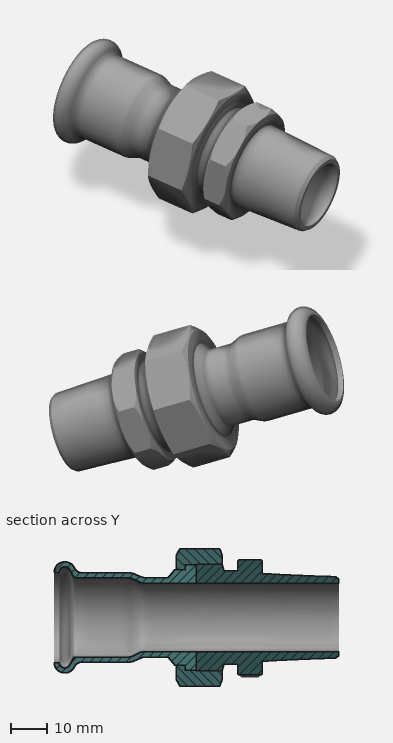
import cadquery as cq
import math

LENGTH = 79.0

WALL = 1.5
SOCKET_R = 12.5
NECK_R = 11.05
BEAD_R = 3.0
BEAD_BLEND_X = 7.75
GROOVE_END_X = 5.5
GROOVE_EDGE_R = 0.4
REDUCER_START_X = 21.4
REDUCER_END_X = 24.7
REDUCER_BLEND_R = 2.2
CONE_START_X = 31.6
CONE_END_X = 33.5
CONE_ROOT_R = 0.4
CONE_RIM_R = 0.2
COLLAR_R = 13.35

NUT_START_X = 33.8
NUT_END_X = 46.7
NUT_ACROSS_CORNERS = 38.3
NUT_CORNER_R = NUT_ACROSS_CORNERS / 2
NUT_FACE_R = 17.2
NUT_FRONT_CHAMFER = 1.1
NUT_BACK_CHAMFER = 0.7
NUT_LIP = 2.5
THREAD_R = 14.7

JOINT_X = 39.5
RUNOUT_LENGTH = 0.5
ADAPTOR_NECK_R = 13.0
HEX_START_X = 50.8
HEX_END_X = 57.8
HEX_CORNER_R = 16.75
HEX_FACE_R = 15.6
HEX_CHAMFER = 1.2
HEX_TURN = 7.5
TAPER_START_R = 12.25
TAPER_END_R = 11.4
END_CHAMFER_X = 78.0
END_FACE_R = 10.7

OCTAGON_SIDES = 8
BORE_R = 9.4
SOCKET_BORE_R = SOCKET_R - WALL


def revolve_x(profile):
    """Turn a closed (x, radius) profile around the X axis."""
    return profile.close().revolve(360, (0, 0, 0), (1, 0, 0))


def round_ring(body, x, radius):
    """Fillet the circular edge whose centre lies at x on the axis."""
    half = 0.01
    at_x = cq.selectors.BoxSelector((x - half, -half, -half), (x + half, half, half))
    return body.edges(at_x).fillet(radius)


def octagon_block(start_x, end_x, corner_r, face_r, start_chamfer, end_chamfer, turn):
    """Octagonal prism along X whose corners are turned off conically at both ends."""
    prism = (
        cq.Workplane("YZ", origin=(start_x, 0, 0))
        .transformed(rotate=(0, 0, turn))
        .polygon(OCTAGON_SIDES, 2 * corner_r)
        .extrude(end_x - start_x)
    )
    envelope = revolve_x(
        cq.Workplane("XY")
        .moveTo(start_x, 0)
        .lineTo(start_x, face_r)
        .lineTo(start_x + start_chamfer, corner_r)
        .lineTo(end_x - end_chamfer, corner_r)
        .lineTo(end_x, face_r)
        .lineTo(end_x, 0)
    )
    return prism.intersect(envelope)


def make_tail():
    """Press tail with seal bead, reduced neck, flared collar and retaining flange."""
    bead_centre = (BEAD_R, SOCKET_R)
    groove_r = BEAD_R - WALL

    def on_circle(centre, radius, angle):
        return (
            centre[0] + radius * math.cos(angle),
            centre[1] + radius * math.sin(angle),
        )

    run = BEAD_BLEND_X - BEAD_R
    blend_r = (run**2 - BEAD_R**2) / (2 * BEAD_R)
    bead_end_angle = math.atan2(blend_r, run)
    blend_mid_angle = (bead_end_angle + math.pi + 1.5 * math.pi) / 2
    blend_centre = (BEAD_BLEND_X, SOCKET_R + blend_r)

    flank_run = GROOVE_END_X - BEAD_R
    flank_angle = math.acos(groove_r / math.hypot(flank_run, WALL)) - math.atan2(WALL, flank_run)

    slope = math.atan2(SOCKET_R - NECK_R, REDUCER_END_X - REDUCER_START_X)
    shift = WALL * math.tan(slope / 2)
    flange_x = NUT_START_X + NUT_LIP

    tail = revolve_x(
        cq.Workplane("XY")
        .moveTo(0, SOCKET_R)
        .threePointArc(
            on_circle(bead_centre, BEAD_R, math.pi / 2),
            on_circle(bead_centre, BEAD_R, bead_end_angle),
        )
        .threePointArc(on_circle(blend_centre, blend_r, blend_mid_angle), (BEAD_BLEND_X, SOCKET_R))
        .lineTo(REDUCER_START_X, SOCKET_R)
        .lineTo(REDUCER_END_X, NECK_R)
        .lineTo(CONE_START_X, NECK_R)
        .lineTo(CONE_END_X, COLLAR_R)
        .lineTo(flange_x, COLLAR_R)
        .lineTo(flange_x, THREAD_R)
        .lineTo(JOINT_X, THREAD_R)
        .lineTo(JOINT_X, BORE_R)
        .lineTo(REDUCER_END_X - shift, BORE_R)
        .lineTo(REDUCER_START_X - shift, SOCKET_BORE_R)
        .lineTo(GROOVE_END_X, SOCKET_BORE_R)
        .lineTo(*on_circle(bead_centre, groove_r, flank_angle))
        .threePointArc(on_circle(bead_centre, groove_r, math.pi / 2), (WALL, SOCKET_R))
    )
    for x in (REDUCER_START_X, REDUCER_END_X, REDUCER_START_X - shift, REDUCER_END_X - shift):
        tail = round_ring(tail, x, REDUCER_BLEND_R)
    tail = round_ring(tail, GROOVE_END_X, GROOVE_EDGE_R)
    tail = round_ring(tail, CONE_START_X, CONE_ROOT_R)
    return round_ring(tail, CONE_END_X, CONE_RIM_R)


def make_nut():
    """Union nut: lip bored for the collar, then a larger bore over flange and thread."""
    block = octagon_block(
        NUT_START_X, NUT_END_X, NUT_CORNER_R, NUT_FACE_R, NUT_FRONT_CHAMFER, NUT_BACK_CHAMFER, 0
    )
    lip_x = NUT_START_X + NUT_LIP
    bore = revolve_x(
        cq.Workplane("XY")
        .moveTo(NUT_START_X, 0)
        .lineTo(NUT_START_X, COLLAR_R)
        .lineTo(lip_x, COLLAR_R)
        .lineTo(lip_x, THREAD_R)
        .lineTo(NUT_END_X, THREAD_R)
        .lineTo(NUT_END_X, 0)
    )
    return block.cut(bore)


def make_adaptor():
    """Male adaptor: union thread, neck, wrench octagon and tapered end thread, all bored through."""
    turned = revolve_x(
        cq.Workplane("XY")
        .moveTo(JOINT_X, 0)
        .lineTo(JOINT_X, THREAD_R)
        .lineTo(NUT_END_X, THREAD_R)
        .lineTo(NUT_END_X + RUNOUT_LENGTH, ADAPTOR_NECK_R)
        .lineTo(HEX_START_X, ADAPTOR_NECK_R)
        .lineTo(HEX_END_X, TAPER_START_R)
        .lineTo(END_CHAMFER_X, TAPER_END_R)
        .lineTo(LENGTH, END_FACE_R)
        .lineTo(LENGTH, 0)
    )
    wrench_flats = octagon_block(
        HEX_START_X, HEX_END_X, HEX_CORNER_R, HEX_FACE_R, HEX_CHAMFER, HEX_CHAMFER, HEX_TURN
    )
    bore = cq.Workplane("YZ", origin=(JOINT_X, 0, 0)).circle(BORE_R).extrude(LENGTH - JOINT_X)
    return turned.union(wrench_flats).cut(bore)


tail = make_tail()
nut = make_nut()
adaptor = make_adaptor()
result = cq.Compound.makeCompound([tail.val(), nut.val(), adaptor.val()])